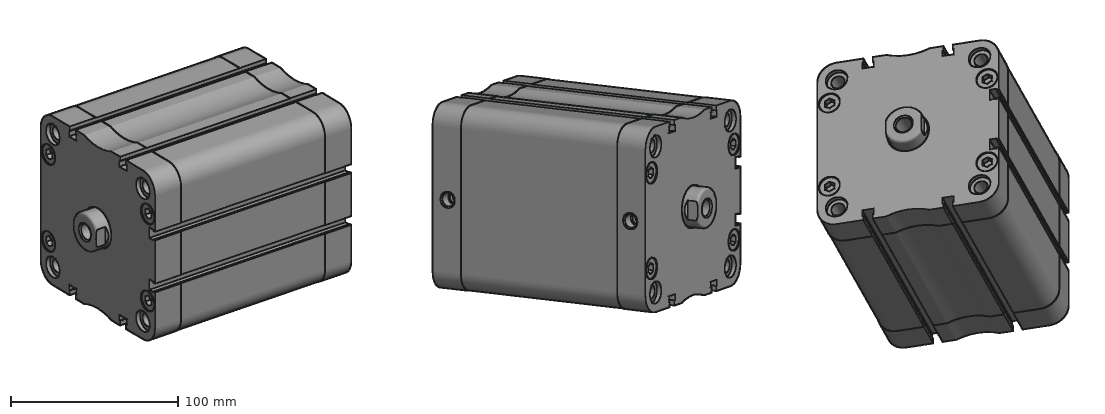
import cadquery as cq
import math


body_size = 113.4
total_length = 157
rod_length = 9.7
body_length = total_length - rod_length
half_size = body_size / 2
corner_radius = 12.1
cap_length = 19.6
barrel_inset = 0.24

hollow_width = 27.0
hollow_depth = 2.5

slot_neck_width = 5.8
slot_width = 7.0
top_slot_offset = 25.0
top_slot_depth = 6.9
top_lip_depth = 3.1
side_slot_offset = 17.5
side_slot_depth = 5.8
side_lip_depth = 1.5

mount_offset = half_size - corner_radius
mount_diameter = 8.3
mount_bore_diameter = 13.5
mount_bore_depth = 3.0

screw_x = 49.1
screw_z = 29.2
screw_bore_diameter = 13.2
screw_head_diameter = 12.7
screw_recess = 0.6
screw_bore_depth = 7.8
hex_across_flats = 6.0
hex_depth = 4.0

port_end_distance = 10.5
port_mouth_diameter = 10.0
port_diameter = 8.3
port_depth = 7.8
port_drill_diameter = 6.0
port_drill_depth = 11

rod_diameter = 25.0
rod_seat_diameter = 25.5
rod_seat_mouth = 26.4
rod_seat_depth = 3.1
rod_edge_radius = 1.7
rod_across_flats = 22
rod_collar_length = 1.4
rod_bore_diameter = 10.0
rod_bore_mouth = 12.0
rod_bore_depth = 20.0
drill_tip_angle = 118


def cylinder(diameter, length, start, direction):
    """Solid cylinder growing from a start point along a direction."""
    return cq.Workplane(cq.Solid.makeCylinder(diameter / 2, length, cq.Vector(*start), cq.Vector(*direction)))


def cone(start_diameter, end_diameter, length, start, direction):
    """Solid cone frustum growing from a start point along a direction."""
    solid = cq.Solid.makeCone(
        start_diameter / 2, end_diameter / 2, length, cq.Vector(*start), cq.Vector(*direction)
    )
    return cq.Workplane(solid)


def section(y):
    """Sketch plane at a given Y, with local axes X and Z; extrusions run toward -Y."""
    return cq.Workplane("XZ", origin=(0, y, 0))


def turn_about_rod(shape, angle):
    return shape.rotate((0, 0, 0), (0, 1, 0), angle)


def make_segment(start_y, end_y, inset):
    """Rounded square block with a hollow along its top and bottom, all sides set back by the inset."""
    length = end_y - start_y
    half_segment = half_size - inset
    block = section(end_y).rect(2 * half_segment, 2 * half_segment).extrude(length)
    block = block.edges("|Y").fillet(corner_radius - inset)
    half_width = hollow_width / 2
    hollow = (
        section(end_y)
        .moveTo(-half_width, half_segment)
        .threePointArc((0, half_segment - hollow_depth), (half_width, half_segment))
        .close()
        .extrude(length)
    )
    return block.cut(hollow).cut(turn_about_rod(hollow, 180))


def make_housing():
    """Two end caps with a barrel between them, set back very slightly from the caps."""
    barrel_end = body_length - cap_length
    front_cap = make_segment(0, cap_length, 0)
    barrel = make_segment(cap_length, barrel_end, barrel_inset)
    rear_cap = make_segment(barrel_end, body_length, 0)
    return front_cap.union(barrel).union(rear_cap)


def make_slot(offset, depth, lip_depth):
    """T-slot in the +Z face, running the full length of the housing."""
    neck = section(body_length).center(offset, half_size - depth / 2).rect(slot_neck_width, depth)
    wide_depth = depth - lip_depth
    wide = section(body_length).center(offset, half_size - depth + wide_depth / 2).rect(slot_width, wide_depth)
    return neck.extrude(body_length).union(wide.extrude(body_length))


def make_mount_hole(x, z):
    through = cylinder(mount_diameter, body_length, (x, 0, z), (0, 1, 0))
    return through.union(cylinder(mount_bore_diameter, mount_bore_depth, (x, 0, z), (0, 1, 0)))


def make_screw_recess(x, z):
    """Counterbore around a screw head, with the hexagon socket in the head."""
    bore = cylinder(screw_bore_diameter, screw_bore_depth, (x, 0, z), (0, 1, 0))
    head_length = screw_bore_depth - screw_recess
    head = cylinder(screw_head_diameter, head_length, (x, screw_recess, z), (0, 1, 0))
    hex_diameter = hex_across_flats / math.cos(math.radians(30))
    socket = (
        section(screw_recess + hex_depth)
        .center(x, z)
        .transformed(rotate=(0, 0, 90))
        .polygon(6, hex_diameter)
        .extrude(hex_depth)
    )
    return bore.cut(head).union(socket)


def make_port(y):
    mouth = (-half_size, y, 0)
    inward = (1, 0, 0)
    chamfer = (port_mouth_diameter - port_diameter) / 2
    return (
        cylinder(port_diameter, port_depth, mouth, inward)
        .union(cone(port_mouth_diameter, port_diameter, chamfer, mouth, inward))
        .union(cylinder(port_drill_diameter, port_drill_depth, mouth, inward))
    )


def make_rod_seat():
    """Chamfered bore in the front face."""
    centre = (0, 0, 0)
    inward = (0, 1, 0)
    chamfer = (rod_seat_mouth - rod_seat_diameter) / 2
    bore = cylinder(rod_seat_diameter, rod_seat_depth, centre, inward)
    return bore.union(cone(rod_seat_mouth, rod_seat_diameter, chamfer, centre, inward))


def make_rod():
    rod = cylinder(rod_diameter, rod_length + rod_seat_depth, (0, rod_seat_depth, 0), (0, -1, 0))
    rod = rod.faces("<Y").edges().fillet(rod_edge_radius)
    half_flats = rod_across_flats / 2
    slope = rod_diameter / 2 - half_flats
    profile = [
        (half_flats, -rod_length),
        (half_flats, -rod_collar_length - slope),
        (half_flats + slope, -rod_collar_length),
        (half_flats + slope, -rod_length),
    ]
    flat = cq.Workplane("XY").polyline(profile).close().extrude(rod_diameter / 2, both=True)
    return rod.cut(flat).cut(flat.mirror("YZ"))


def make_rod_bore():
    end_face = (0, -rod_length, 0)
    inward = (0, 1, 0)
    chamfer = (rod_bore_mouth - rod_bore_diameter) / 2
    tip_start = (0, rod_bore_depth - rod_length, 0)
    tip_length = rod_bore_diameter / 2 / math.tan(math.radians(drill_tip_angle / 2))
    return (
        cylinder(rod_bore_diameter, rod_bore_depth, end_face, inward)
        .union(cone(rod_bore_mouth, rod_bore_diameter, chamfer, end_face, inward))
        .union(cone(rod_bore_diameter, 0, tip_length, tip_start, inward))
    )


result = make_housing()

for angle in (0, 180):
    for offset in (-top_slot_offset, top_slot_offset):
        slot = make_slot(offset, top_slot_depth, top_lip_depth)
        result = result.cut(turn_about_rod(slot, angle))

for offset in (-side_slot_offset, side_slot_offset):
    slot = make_slot(offset, side_slot_depth, side_lip_depth)
    result = result.cut(turn_about_rod(slot, 90))

for x_side in (-1, 1):
    for z_side in (-1, 1):
        result = result.cut(make_mount_hole(x_side * mount_offset, z_side * mount_offset))
        result = result.cut(make_screw_recess(x_side * screw_x, z_side * screw_z))

for port_y in (port_end_distance, body_length - port_end_distance):
    result = result.cut(make_port(port_y))

result = result.cut(make_rod_seat())
result = result.union(make_rod()).cut(make_rod_bore())
result = result.translate((0, (rod_length - body_length) / 2, 0))